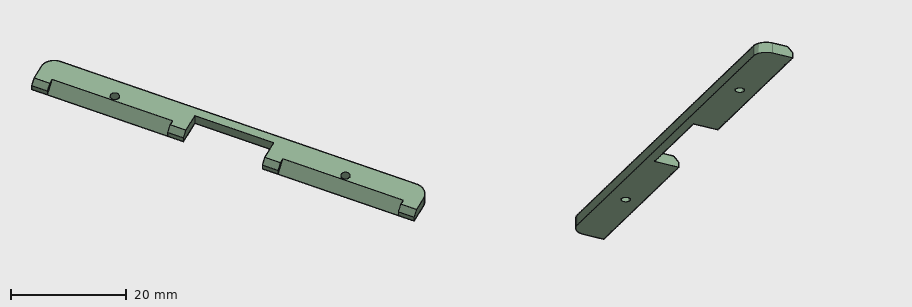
import cadquery as cq

length = 72.8
width = 6.4
thickness = 2.0
corner_radius = 2.5

notch_length = 15.0
bridge_width = 1.7

tab_bevel = 1.0
tab_length = 3.0

hole_diameter = 1.6
hole_from_front = 3.0

wing_length = (length - notch_length) / 2
wing_center_x = (notch_length + wing_length) / 2
ramp_length = wing_length - 2 * tab_length


def make_bar():
    """Flat bar with rounded rear corners."""
    bar = cq.Workplane("XY").box(length, width, thickness, centered=(True, False, False))
    return bar.edges("|Z and >Y").fillet(corner_radius)


def make_notch():
    """Block that removes the centre of the front edge."""
    notch_depth = width - bridge_width
    return cq.Workplane("XY").box(notch_length, notch_depth, thickness, centered=(True, False, False))


def make_bevel(size, bevel_length, center_x):
    """45 degree wedge that removes the top front edge over a length along X."""
    return (
        cq.Workplane("YZ", origin=(center_x - bevel_length / 2, 0, 0))
        .moveTo(0, thickness)
        .lineTo(size, thickness)
        .lineTo(0, thickness - size)
        .close()
        .extrude(bevel_length)
    )


def make_hole(center_x):
    """Vertical cylinder that removes one through hole."""
    return (
        cq.Workplane("XY")
        .center(center_x, hole_from_front)
        .circle(hole_diameter / 2)
        .extrude(thickness)
    )


result = make_bar().cut(make_notch())
for wing_x in (-wing_center_x, wing_center_x):
    result = result.cut(make_bevel(tab_bevel, wing_length, wing_x))
    result = result.cut(make_bevel(thickness, ramp_length, wing_x))
    result = result.cut(make_hole(wing_x))